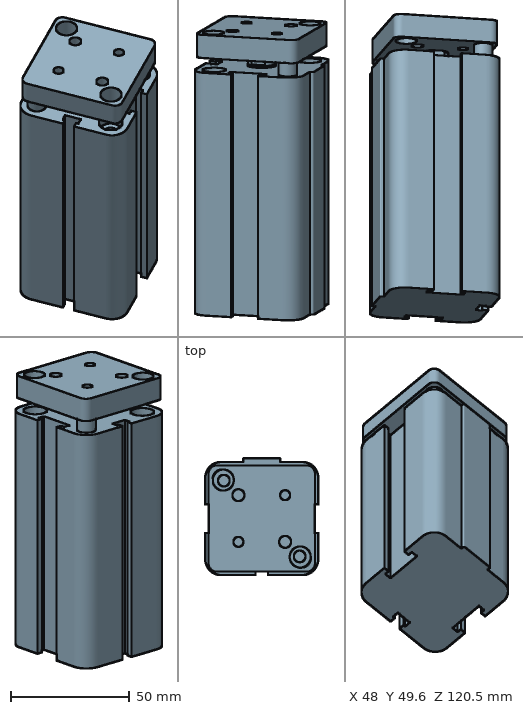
import cadquery as cq

total_height = 120.5
plate_thickness = 10.0
plate_gap = 6.0
plate_bottom = total_height - plate_thickness
housing_height = plate_bottom - plate_gap

housing_side = 48.0
housing_corner_radius = 7.0
key_width = 15.7
key_height = 1.6
key_edge_radius = 0.5

groove_lip = 2.5
wide_groove_depth = 5.5
wide_groove_mouth = 12.0
wide_groove_inside = 15.9
narrow_groove_depth = 5.3
narrow_groove_mouth = 5.2
narrow_groove_inside = 7.1

screw_offset = 16.0
screw_head_diameter = 10.0
screw_head_depth = 5.2
screw_hole_diameter = 5.0
screw_hole_depth = 14.5

plate_side = 45.0
plate_corner_radius = 3.3
access_hole_diameter = 8.9
access_hole_offset = 16.3
fixing_hole_offset = 9.9
pin_hole_diameter = 5.1
thread_hole_diameter = 4.2

guide_rod_diameter = 8.0
guide_rod_offset = 17.0
piston_rod_diameter = 12.0
piston_rod_protrusion = 0.7
neck_diameter = 11.7
neck_flat_width = 10.0
neck_flat_bottom = 1.1
rod_bevel_width = (piston_rod_diameter - neck_diameter) / 2
rod_bevel_height = 0.4


def opposite_corners(offset, x_sign):
    """Two points on a diagonal through the centre; x_sign is the X side of the -Y point."""
    return [(x_sign * offset, -offset), (-x_sign * offset, offset)]


def t_groove(depth, mouth_width, inside_width, angle):
    """Groove cutter entering the +X face of the housing, turned by angle about Z."""
    face = housing_side / 2
    mouth = cq.Workplane("XY").box(depth, mouth_width, housing_height, centered=(False, True, False))
    inside = cq.Workplane("XY").box(
        depth - groove_lip, inside_width, housing_height, centered=(False, True, False)
    )
    groove = mouth.union(inside).translate((face - depth, 0, 0))
    return groove.rotate((0, 0, 0), (0, 0, 1), angle)


def make_key():
    """Raised strip on the +Y face, rounded along its two outer edges."""
    key_root = housing_side / 2 - housing_corner_radius
    key_outside = housing_side / 2 + key_height
    key = cq.Workplane("XY").box(
        key_width, key_outside - key_root, housing_height, centered=(True, False, False)
    )
    return key.edges("|Z and >Y").fillet(key_edge_radius).translate((0, key_root, 0))


def make_housing():
    body = cq.Workplane("XY").box(housing_side, housing_side, housing_height, centered=(True, True, False))
    body = body.edges("|Z").fillet(housing_corner_radius)
    body = body.union(make_key())

    for angle in (0, 180):
        body = body.cut(t_groove(wide_groove_depth, wide_groove_mouth, wide_groove_inside, angle))
    body = body.cut(t_groove(narrow_groove_depth, narrow_groove_mouth, narrow_groove_inside, -90))

    screws = cq.Workplane("XY").pushPoints(opposite_corners(screw_offset, 1))
    screw_holes = screws.circle(screw_hole_diameter / 2).extrude(screw_hole_depth)
    body = body.cut(screw_holes.translate((0, 0, housing_height - screw_hole_depth)))
    screw_heads = screws.circle(screw_head_diameter / 2).extrude(screw_head_depth)
    return body.cut(screw_heads.translate((0, 0, housing_height - screw_head_depth)))


def make_plate():
    plate = cq.Workplane("XY").box(plate_side, plate_side, plate_thickness, centered=(True, True, False))
    plate = plate.edges("|Z").fillet(plate_corner_radius)
    for diameter, offset, x_sign in (
        (access_hole_diameter, access_hole_offset, 1),
        (pin_hole_diameter, fixing_hole_offset, 1),
        (thread_hole_diameter, fixing_hole_offset, -1),
    ):
        holes = cq.Workplane("XY").pushPoints(opposite_corners(offset, x_sign))
        plate = plate.cut(holes.circle(diameter / 2).extrude(plate_thickness))
    return plate.translate((0, 0, plate_bottom))


def make_piston_rod():
    """Exposed rod end, bevelled down to a thinner neck with flats facing +X and -X and a bevelled tip."""
    rod = cq.Workplane("XY").circle(piston_rod_diameter / 2).extrude(piston_rod_protrusion)
    rod = rod.faces(">Z").edges().chamfer(rod_bevel_height, rod_bevel_width)
    neck = cq.Workplane("XY").circle(neck_diameter / 2).extrude(plate_gap)
    neck = neck.faces(">Z").edges().chamfer(rod_bevel_height, rod_bevel_width)
    rod = rod.union(neck)

    flat_height = plate_gap - neck_flat_bottom
    flats = cq.Workplane("XY").box(neck_flat_width, neck_diameter, flat_height, centered=(True, True, False))
    removed = cq.Workplane("XY").circle(piston_rod_diameter / 2).extrude(flat_height).cut(flats)
    rod = rod.cut(removed.translate((0, 0, neck_flat_bottom)))
    return rod.translate((0, 0, housing_height))


def make_slide():
    """Plate, two guide rods and piston rod; the rods end on the housing top."""
    guide_rods = cq.Workplane("XY").pushPoints(opposite_corners(guide_rod_offset, -1))
    guide_rods = guide_rods.circle(guide_rod_diameter / 2).extrude(plate_gap)
    guide_rods = guide_rods.translate((0, 0, housing_height))
    return make_plate().union(guide_rods).union(make_piston_rod())


housing = make_housing()
slide = make_slide()

result = cq.Compound.makeCompound([housing.val(), slide.val()])